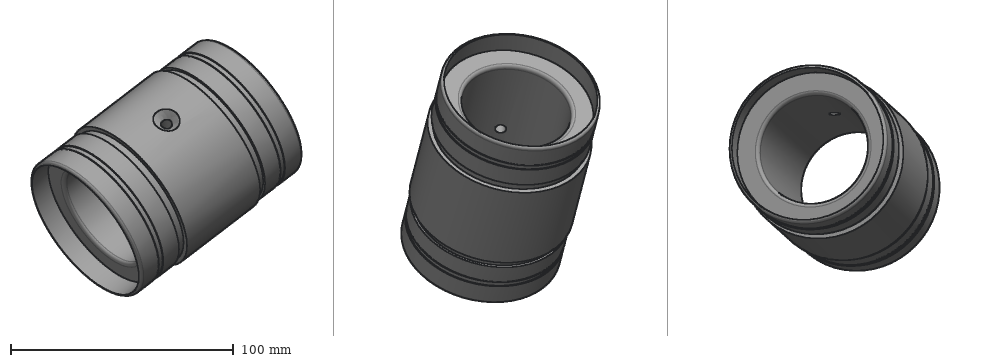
import cadquery as cq
import math

LENGTH = 99.72
HALF_LENGTH = LENGTH / 2
BODY_RADIUS = 37.5
END_RADIUS = 36.5
BORE_RADIUS = 25.0

NECK_RADIUS = 35.25
NECK_INNER_Y = 22.5
NECK_WIDTH = 4.0
NECK_OUTER_Y = NECK_INNER_Y + NECK_WIDTH

GROOVE_RADIUS = 36.0
GROOVE_INNER_Y = 36.15
GROOVE_WIDTH = 2.65

LIP_ROUND = 1.45
RECESS_RADIUS = END_RADIUS - LIP_ROUND
RECESS_DEPTH = 10.0
BORE_ROUND = 1.8

HOLE_RADIUS = 2.5
HOLE_MOUTH_CHAMFER = 3.25

CUT_MARGIN = 1.0


def disc(radius, start_y, length):
    """Solid cylinder on the Y axis, running from start_y toward +Y."""
    return cq.Workplane("XZ", origin=(0, start_y, 0)).circle(radius).extrude(-length)


def ring_cutter(floor_radius, start_y, width):
    """Ring that cuts a groove down to floor_radius."""
    return disc(BODY_RADIUS + CUT_MARGIN, start_y, width).cut(disc(floor_radius, start_y, width))


def mouth_cutter():
    """Oval countersink that keeps the chamfer even around the curved wall.

    In the YZ plane the chamfer is a plain 45 degree bevel. In the XZ plane the wall falls away
    from the hole, so the bevel starts lower on the hole and ends farther out on the body.
    """
    inner_radius = BODY_RADIUS - HOLE_MOUTH_CHAMFER
    mouth_y = HOLE_RADIUS + HOLE_MOUTH_CHAMFER
    mouth_x = mouth_y * BODY_RADIUS / inner_radius
    low_z = math.sqrt(inner_radius**2 - mouth_y**2)
    high_z = math.sqrt(BODY_RADIUS**2 - mouth_x**2)
    x_slope = (mouth_x - HOLE_RADIUS) / (high_z - low_z)

    bottom_z = low_z - CUT_MARGIN / 2
    top_z = BODY_RADIUS + CUT_MARGIN

    def half_axes(z):
        return HOLE_RADIUS + x_slope * (z - low_z), HOLE_RADIUS + z - inner_radius

    return (
        cq.Workplane("XY", origin=(0, 0, bottom_z))
        .ellipse(*half_axes(bottom_z))
        .workplane(offset=top_z - bottom_z)
        .ellipse(*half_axes(top_z))
        .loft(ruled=True)
    )


def body_with_hole():
    """Central cylinder with the radial hole and its chamfered mouth."""
    body = disc(BODY_RADIUS, -NECK_OUTER_Y, 2 * NECK_OUTER_Y)
    hole = cq.Workplane("XY").circle(HOLE_RADIUS).extrude(BODY_RADIUS + CUT_MARGIN)
    return body.cut(hole).cut(mouth_cutter())


def end_section():
    """The +Y end: stepped sleeve with a rounded lip around its recess."""
    end = disc(END_RADIUS, NECK_OUTER_Y, HALF_LENGTH - NECK_OUTER_Y)
    end = end.faces(">Y").edges().fillet(LIP_ROUND)
    end = end.cut(ring_cutter(GROOVE_RADIUS, GROOVE_INNER_Y, GROOVE_WIDTH))
    return end.cut(disc(RECESS_RADIUS, HALF_LENGTH - RECESS_DEPTH, RECESS_DEPTH))


def bore_cutter():
    """Bore between the two recess floors, flared by a round at each mouth."""
    floor_y = HALF_LENGTH - RECESS_DEPTH
    mouth_radius = BORE_RADIUS + BORE_ROUND
    bend = BORE_ROUND * (1 - math.sqrt(0.5))
    profile = (
        cq.Workplane("XY")
        .moveTo(0, -floor_y)
        .lineTo(mouth_radius, -floor_y)
        .threePointArc((BORE_RADIUS + bend, -floor_y + bend), (BORE_RADIUS, -floor_y + BORE_ROUND))
        .lineTo(BORE_RADIUS, floor_y - BORE_ROUND)
        .threePointArc((BORE_RADIUS + bend, floor_y - bend), (mouth_radius, floor_y))
        .lineTo(0, floor_y)
        .close()
    )
    return profile.revolve(360, (0, 0, 0), (0, 1, 0))


end = end_section()
sleeve = body_with_hole().union(end).union(end.mirror("XZ"))
for neck_start_y in (NECK_INNER_Y, -NECK_OUTER_Y):
    sleeve = sleeve.cut(ring_cutter(NECK_RADIUS, neck_start_y, NECK_WIDTH))

result = sleeve.cut(bore_cutter())